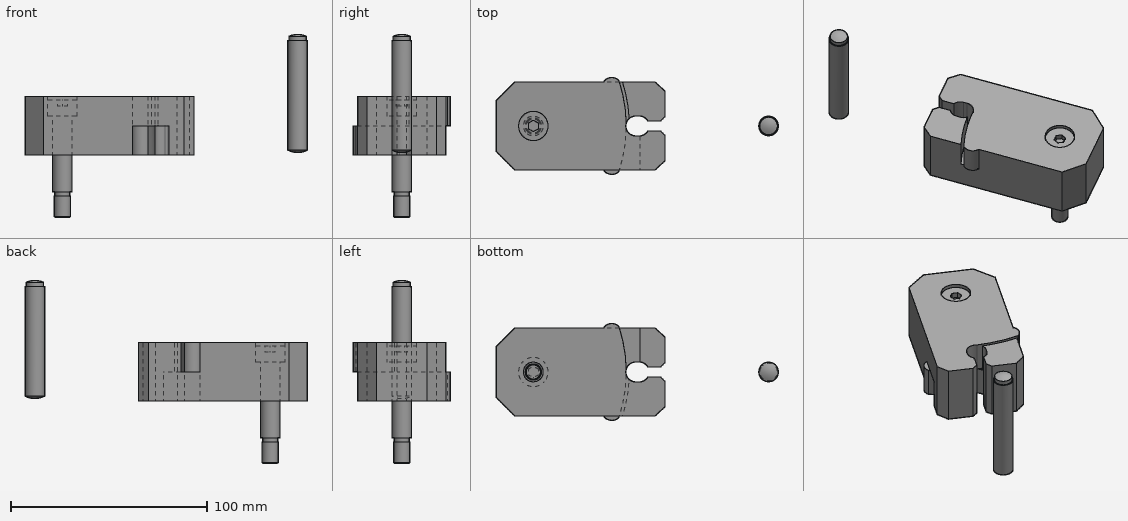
import cadquery as cq
import math

back_x = -19.0
front_x = 67.2
half_width = 22.5
arm_thickness = 15.0
back_chamfer = 9.5
front_chamfer_x = 5.2
front_chamfer_y = 4.8

grip_radius = 5.0
grip_back_x = 52.3
grip_front_x = 54.0
slit_half_width = 2.5
mouth_chamfer = 2.5

arm_end_x = 47.4
arm_end_radius = 73.5
riser_gap = 1.6
foot_x = 54.5

bump_radius = 5.0
bump_x = 40.0
bump_projection = 2.3
bump_y = half_width + bump_projection - bump_radius

head_radius = 7.5
head_height = 8.0
head_recess = 1.9
socket_across_flats = 5.0
socket_depth = 2.9
shoulder_radius = 5.0
shoulder_projection = 18.7
neck_radius = 3.9
neck_length = 2.2
thread_radius = 4.2
thread_end_z = -46.8
thread_chamfer = 0.6
head_top_z = arm_thickness - head_recess
head_seat_z = head_top_z - head_height
shoulder_end_z = -arm_thickness - shoulder_projection

pin_x = 120.0
pin_radius = 5.0
pin_tip_radius = 4.5
pin_bottom_z = -13.7
pin_top_z = 46.7
bottom_dome = 1.3
top_dome = 1.0
tip_length = 2.2


def box(x_min, x_max, y_min, y_max, z_min, z_max):
    """Box given by its limits."""
    size = (x_max - x_min, y_max - y_min, z_max - z_min)
    return cq.Workplane("XY").box(*size, centered=False).translate((x_min, y_min, z_min))


def clamp_outline():
    """Full-height chamfered block with the grip opening cut through it."""
    half_outline = [
        (back_x, half_width - back_chamfer),
        (back_x + back_chamfer, half_width),
        (front_x - front_chamfer_x, half_width),
        (front_x, half_width - front_chamfer_y),
        (front_x, slit_half_width + mouth_chamfer),
        (front_x - mouth_chamfer, slit_half_width),
        (grip_front_x, slit_half_width),
    ]
    mirrored = [(x, -y) for x, y in reversed(half_outline)]
    block = (
        cq.Workplane("XY", origin=(0, 0, -arm_thickness))
        .polyline(half_outline + mirrored).close().extrude(2 * arm_thickness)
    )
    grip_hole = (
        cq.Workplane("XY", origin=((grip_back_x + grip_front_x) / 2, 0, -arm_thickness))
        .slot2D(grip_front_x - grip_back_x + 2 * grip_radius, 2 * grip_radius)
        .extrude(2 * arm_thickness)
    )
    return block.cut(grip_hole)


def arm_end_zone(end_x, z_min):
    """One arm thickness of space behind a convex arc whose foremost point is end_x."""
    reach = half_width + bump_projection
    arc_side_x = end_x - arm_end_radius + math.sqrt(arm_end_radius**2 - reach**2)
    return (
        cq.Workplane("XY", origin=(0, 0, z_min))
        .moveTo(back_x, -reach).lineTo(arc_side_x, -reach)
        .threePointArc((end_x, 0), (arc_side_x, reach))
        .lineTo(back_x, reach).close().extrude(arm_thickness)
    )


def clamp_arm(level, jaw_start_zone):
    """Arm filling one level; its jaw also reaches into the other level.

    level is 1 for the upper arm, with its jaw at -Y, and -1 for the lower arm,
    with its jaw at +Y. jaw_start_zone is the space the jaw leaves free there.
    """
    own_z = 0 if level > 0 else -arm_thickness
    other_z = -arm_thickness - own_z
    jaw_y = (-half_width, 0) if level > 0 else (0, half_width)

    bump = (
        cq.Workplane("XY", origin=(bump_x, level * bump_y, own_z))
        .circle(bump_radius).extrude(arm_thickness)
    )
    body = outline.union(bump).intersect(arm_end_zone(arm_end_x, own_z))
    jaw_side = box(back_x, front_x, *jaw_y, own_z, own_z + arm_thickness)
    jaw_tip = box(bump_x, front_x, *jaw_y, other_z, other_z + arm_thickness)
    jaw = outline.intersect(jaw_side.union(jaw_tip.cut(jaw_start_zone)))
    return body.union(jaw).clean()


def screw_bore():
    """Stepped bore through the clamp block, open above the recessed screw head."""
    bore = (
        cq.Workplane("XY", origin=(0, 0, -arm_thickness))
        .circle(shoulder_radius).extrude(2 * arm_thickness)
    )
    counterbore = (
        cq.Workplane("XY", origin=(0, 0, head_seat_z))
        .circle(head_radius).extrude(arm_thickness - head_seat_z)
    )
    return bore.union(counterbore)


def shoulder_screw():
    """Socket-head shoulder screw seated in the clamp block."""
    profile = [
        (0, head_top_z),
        (head_radius, head_top_z),
        (head_radius, head_seat_z),
        (shoulder_radius, head_seat_z),
        (shoulder_radius, shoulder_end_z),
        (neck_radius, shoulder_end_z),
        (neck_radius, shoulder_end_z - neck_length),
        (thread_radius, shoulder_end_z - neck_length),
        (thread_radius, thread_end_z + thread_chamfer),
        (thread_radius - thread_chamfer, thread_end_z),
        (0, thread_end_z),
    ]
    body = cq.Workplane("XZ").polyline(profile).close().revolve(360, (0, 0), (0, 1))
    socket_across_corners = socket_across_flats / math.cos(math.pi / 6)
    socket = (
        cq.Workplane("XY", origin=(0, 0, head_top_z))
        .transformed(rotate=(0, 0, 30))
        .polygon(6, socket_across_corners).extrude(-socket_depth)
    )
    return body.cut(socket)


def dome_middle(radius, height):
    """Radius and rise above the rim of a point midway along a spherical dome."""
    sphere_radius = (radius**2 + height**2) / (2 * height)
    middle_radius = radius / 2
    rise = height - sphere_radius + math.sqrt(sphere_radius**2 - middle_radius**2)
    return middle_radius, rise


def grip_pin():
    """Round pin with domed ends and a reduced upper tip."""
    bottom_rim_z = pin_bottom_z + bottom_dome
    top_rim_z = pin_top_z - top_dome
    step_z = top_rim_z - tip_length
    bottom_r, bottom_rise = dome_middle(pin_radius, bottom_dome)
    top_r, top_rise = dome_middle(pin_tip_radius, top_dome)
    return (
        cq.Workplane("XZ", origin=(pin_x, 0, 0))
        .moveTo(0, pin_bottom_z)
        .threePointArc((bottom_r, bottom_rim_z - bottom_rise), (pin_radius, bottom_rim_z))
        .lineTo(pin_radius, step_z)
        .lineTo(pin_tip_radius, step_z)
        .lineTo(pin_tip_radius, top_rim_z)
        .threePointArc((top_r, top_rim_z + top_rise), (0, pin_top_z))
        .close().revolve(360, (0, 0), (0, 1))
    )


outline = clamp_outline()
bore = screw_bore()

foot_zone = box(back_x, foot_x, -half_width, 0, -arm_thickness, 0)
riser_zone = arm_end_zone(arm_end_x + riser_gap, 0)
upper_arm = clamp_arm(1, foot_zone)
lower_arm = clamp_arm(-1, riser_zone)
clamp_block = upper_arm.union(lower_arm).clean().cut(bore)
screw = shoulder_screw()
pin = grip_pin()

result = cq.Compound.makeCompound([clamp_block.val(), screw.val(), pin.val()])